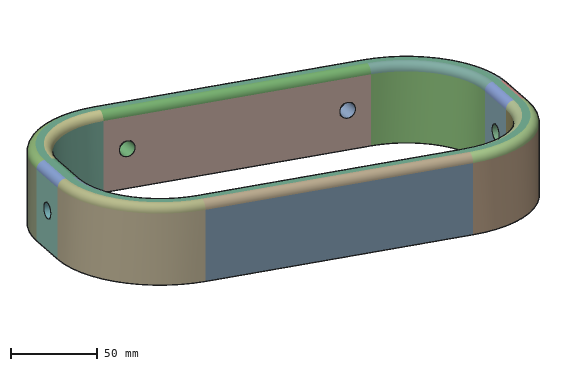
import cadquery as cq

length = 300.0
width = 160.0
height = 50.0

wall = 15.0
end_flat = 30.0
corner_radius = (width - end_flat) / 2
rim_fillet = 5.0

hole_diameter = 10.0
side_hole_spacing = 140.0
hole_z = height / 2


def rounded_block(size_x, size_y, radius):
    """Upright block with rounded vertical corners, standing on Z = 0."""
    block = cq.Workplane("XY").rect(size_x, size_y).extrude(height)
    return block.edges("|Z").fillet(radius)


def ring():
    """Ring of constant wall thickness with its top rim rounded inside and out."""
    outer = rounded_block(width, length, corner_radius)
    inner = rounded_block(width - 2 * wall, length - 2 * wall, corner_radius - wall)
    return outer.cut(inner).faces(">Z").edges().fillet(rim_fillet)


def end_holes():
    """One bore along Y, passing through both short ends."""
    bore = cq.Workplane("XZ").center(0, hole_z).circle(hole_diameter / 2)
    return bore.extrude(length / 2, both=True)


def side_holes():
    """Two holes through the -X wall only."""
    side_plane = cq.Workplane("YZ", origin=(-width / 2, 0, hole_z))
    places = [(-side_hole_spacing / 2, 0), (side_hole_spacing / 2, 0)]
    return side_plane.pushPoints(places).circle(hole_diameter / 2).extrude(wall)


result = ring().cut(end_holes()).cut(side_holes())